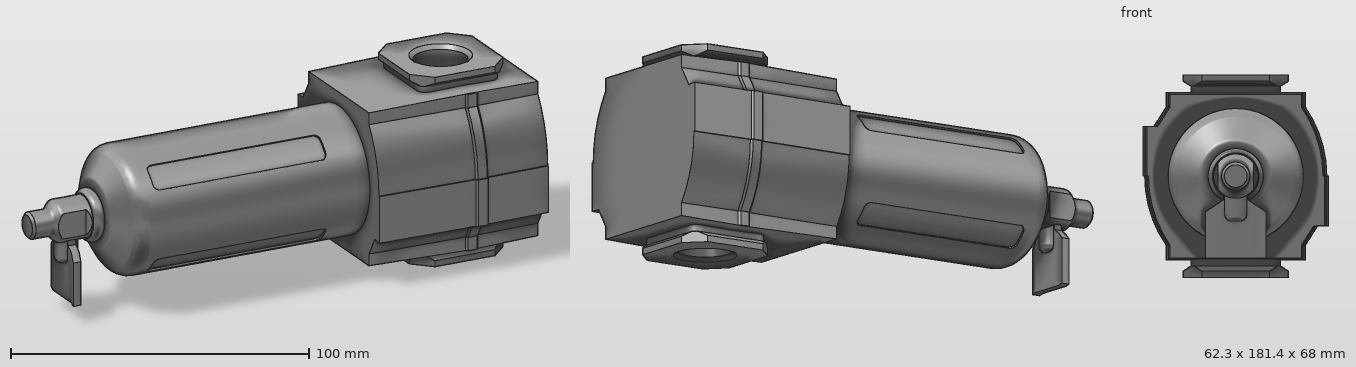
import cadquery as cq
import math


HEAD_BACK = 25.2
HEAD_FRONT = 38.5
HEAD_DRAFT = 1.0
HEAD_HALF_HEIGHT = 28.1
HEAD_HALF_WIDTH = 22.7
RIB_HALF_WIDTH = 30.5
SIDE_EDGE_Z = 23.2
RIB_LEDGE_Z = 16.7
LEDGE_DEPTH = 3.6
RIB_STEP = 0.5
BAND_RAISE = 0.67
BAND_WIDTH = 3.5

PORT_SPAN = 68.0
PORT_FACE_Z = PORT_SPAN / 2
FLANGE_SIZE = 35.4
FLANGE_CORNER = 6.4
FLANGE_RIM = 2.2
FLANGE_BEVEL = 1.6
NECK_SIZE = 30.1
NECK_CORNER_RADIUS = 3.5
PORT_RADIUS = 9.3
PORT_CHAMFER = 1.5
PORT_DEPTH = 20.0

BOWL_RADIUS = 22.7
BOWL_LENGTH = 92.7
BOWL_CONE_LENGTH = 6.7
BOWL_END_RADIUS = 12.0
BOWL_ROUND = 6.2
BOWL_END_ROUND = 2.4
WINDOW_LENGTH = 65.3
WINDOW_WIDTH = 9.5
WINDOW_DEPTH = 0.7
WINDOW_CORNER_RADIUS = 2.2
WINDOW_GAP = 14.2
WINDOW_ANGLES = (45, 135, 225, 315)

COLLAR_RADIUS = 9.3
COLLAR_BASE_RADIUS = 8.3
COLLAR_FOOT_RADIUS = 7.8
COLLAR_LENGTH = 4.0
BODY_RADIUS = 7.5
BODY_END = 14.7
BODY_FLATS = 11.8
FLAT_START = 5.8
BODY_ROUND = 1.6
SPOUT_RADIUS = 4.7
SPOUT_CHAMFER = 0.9
DRAIN_LENGTH = 25.0
STEM_OFFSET = 10.3
STEM_RADIUS = 4.0
STEM_END_Z = -15.0
STEM_ROUND = 2.2
LEVER_HALF_WIDTH = 10.2
LEVER_FLAT_HALF_WIDTH = 6.7
LEVER_NECK_HALF_WIDTH = 4.2
LEVER_THICKNESS = 2.9
LEVER_BEND = 1.0
LEVER_END_Z = -27.5
LEVER_SHOULDER_Z = -12.0
LEVER_NECK_Z = -8.0

BOWL_END = -HEAD_FRONT - BOWL_LENGTH


def head_section(y, raise_by):
    """Closed head outline at one place along Y, its sides pushed out by raise_by.

    Half a turn about the bowl axis maps the outline onto itself.
    """
    draft = abs(y) * math.tan(math.radians(HEAD_DRAFT))
    height = HEAD_HALF_HEIGHT - draft
    side = HEAD_HALF_WIDTH - draft + raise_by
    rib = RIB_HALF_WIDTH - draft + raise_by
    arc_end = rib - RIB_STEP
    sagitta = arc_end - side
    arc_radius = (sagitta**2 + SIDE_EDGE_Z**2) / (2 * sagitta)
    mid_angle = math.asin(SIDE_EDGE_Z / arc_radius) / 2
    mid_x = arc_end - arc_radius * (1 - math.cos(mid_angle))
    mid_z = arc_radius * math.sin(mid_angle)

    outline = cq.Workplane("XZ", origin=(0, y, 0)).moveTo(-side, height)
    for turn in (1, -1):
        outline = (
            outline.lineTo(turn * side, turn * height)
            .lineTo(turn * side, turn * SIDE_EDGE_Z)
            .threePointArc((turn * mid_x, turn * mid_z), (turn * arc_end, 0))
            .lineTo(turn * rib, 0)
            .lineTo(turn * rib, -turn * RIB_LEDGE_Z)
            .lineTo(turn * (rib - LEDGE_DEPTH), -turn * RIB_LEDGE_Z)
            .lineTo(turn * side, -turn * SIDE_EDGE_Z)
            .lineTo(turn * side, -turn * height)
        )
    return outline.close().val()


def head_segment(start, end):
    """Head stretch between two sections, each given as (place along Y, raise)."""
    wires = [head_section(*start), head_section(*end)]
    return cq.Workplane(obj=cq.Solid.makeLoft(wires, True))


def head_block():
    """Drafted head with the raised band around its sides at the port plane."""
    block = head_segment((0, 0), (-HEAD_FRONT, 0)).union(head_segment((0, 0), (HEAD_BACK, 0)))
    crest_edge = BAND_WIDTH / 2
    block = block.union(head_segment((-crest_edge, BAND_RAISE), (crest_edge, BAND_RAISE)))
    for toward in (1, -1):
        flank_top = toward * crest_edge
        flank_foot = toward * (crest_edge + BAND_RAISE)
        block = block.union(head_segment((flank_top, BAND_RAISE), (flank_foot, 0)))
    return block


def port_flange():
    """Upper port flange with its neck, reaching down into the head."""
    bevel_start = PORT_FACE_Z - FLANGE_RIM
    neck_top = bevel_start - FLANGE_BEVEL
    rim = cq.Workplane("XY").workplane(offset=bevel_start).rect(FLANGE_SIZE, FLANGE_SIZE).extrude(FLANGE_RIM)
    bevel = (
        cq.Workplane("XY").workplane(offset=neck_top).rect(NECK_SIZE, NECK_SIZE)
        .workplane(offset=FLANGE_BEVEL).rect(FLANGE_SIZE, FLANGE_SIZE).loft()
    )
    octagon = (
        cq.Workplane("XY").rect(FLANGE_SIZE, FLANGE_SIZE).extrude(PORT_FACE_Z)
        .edges("|Z").chamfer(FLANGE_CORNER)
    )
    neck = (
        cq.Workplane("XY").rect(NECK_SIZE, NECK_SIZE).extrude(neck_top)
        .edges("|Z").fillet(NECK_CORNER_RADIUS)
    )
    return rim.union(bevel).intersect(octagon).union(neck)


def port_bore():
    """Blind upper port bore with its lead-in chamfer."""
    mouth = PORT_RADIUS + PORT_CHAMFER
    floor = PORT_FACE_Z - PORT_DEPTH
    return (
        cq.Workplane("XZ").moveTo(0, floor).lineTo(PORT_RADIUS, floor)
        .lineTo(PORT_RADIUS, PORT_FACE_Z - PORT_CHAMFER).lineTo(mouth, PORT_FACE_Z)
        .lineTo(0, PORT_FACE_Z).close()
        .revolve(360, (0, 0, 0), (0, 1, 0))
    )


def make_head():
    head = head_block()
    flange = port_flange()
    bore = port_bore()
    head = head.union(flange).union(flange.mirror("XY"))
    return head.cut(bore).cut(bore.mirror("XY"))


def bowl_window(angle):
    """Curved pocket cutter on the bowl wall, turned about the bowl axis."""
    centre_y = -HEAD_FRONT - WINDOW_GAP - WINDOW_LENGTH / 2
    cutter = (
        cq.Workplane("XY").center(0, centre_y).rect(WINDOW_WIDTH, WINDOW_LENGTH)
        .extrude(2 * BOWL_RADIUS)
        .edges("|Z").fillet(WINDOW_CORNER_RADIUS)
    )
    core = cq.Workplane("XZ").circle(BOWL_RADIUS - WINDOW_DEPTH).extrude(-BOWL_END)
    return cutter.cut(core).rotate((0, 0, 0), (0, 1, 0), angle)


def edge_ring(y):
    """Selector for the round edges that lie at one place along Y."""
    reach = 2 * BOWL_RADIUS
    margin = 0.2
    return cq.selectors.BoxSelector((-reach, y - margin, -reach), (reach, y + margin, reach))


def make_bowl():
    shoulder_y = BOWL_END + BOWL_CONE_LENGTH
    bowl = (
        cq.Workplane("XY").moveTo(0, -HEAD_FRONT).lineTo(BOWL_RADIUS, -HEAD_FRONT)
        .lineTo(BOWL_RADIUS, shoulder_y).lineTo(BOWL_END_RADIUS, BOWL_END)
        .lineTo(0, BOWL_END).close()
        .revolve(360, (0, 0, 0), (0, 1, 0))
    )
    bowl = bowl.edges(edge_ring(shoulder_y)).fillet(BOWL_ROUND)
    bowl = bowl.edges(edge_ring(BOWL_END)).fillet(BOWL_END_ROUND)
    for angle in WINDOW_ANGLES:
        bowl = bowl.cut(bowl_window(angle))
    return bowl


def drain_barrel():
    """Turned part of the drain cock: bulged collar, body with two flats, and spout."""
    taper_length = BODY_RADIUS - SPOUT_RADIUS
    collar = (
        cq.Workplane("XY", origin=(0, BOWL_END, 0)).lineTo(COLLAR_BASE_RADIUS, 0)
        .threePointArc((COLLAR_RADIUS, -COLLAR_LENGTH / 2), (COLLAR_FOOT_RADIUS, -COLLAR_LENGTH))
        .lineTo(0, -COLLAR_LENGTH).close()
        .revolve(360, (0, 0, 0), (0, 1, 0))
    )
    body = (
        cq.Workplane("XY", origin=(0, BOWL_END, 0)).lineTo(BODY_RADIUS, 0)
        .lineTo(BODY_RADIUS, -BODY_END).lineTo(SPOUT_RADIUS, -BODY_END - taper_length)
        .lineTo(SPOUT_RADIUS, -DRAIN_LENGTH).lineTo(0, -DRAIN_LENGTH).close()
        .revolve(360, (0, 0, 0), (0, 1, 0))
        .faces("<Y").edges().chamfer(SPOUT_CHAMFER)
    )
    body = body.edges(edge_ring(BOWL_END - BODY_END)).fillet(BODY_ROUND)
    body = body.edges(edge_ring(BOWL_END - BODY_END - taper_length)).fillet(BODY_ROUND)
    flat_x = BODY_FLATS / 2
    between_flats = (
        cq.Workplane("XY", origin=(0, BOWL_END, 0))
        .moveTo(-flat_x - FLAT_START, 0).lineTo(flat_x + FLAT_START, 0)
        .lineTo(flat_x, -FLAT_START).lineTo(flat_x, -DRAIN_LENGTH)
        .lineTo(-flat_x, -DRAIN_LENGTH).lineTo(-flat_x, -FLAT_START).close()
        .extrude(2 * BODY_RADIUS, both=True)
    )
    return collar.union(body.intersect(between_flats))


def drain_lever():
    """Wing lever hanging in -Z: a flat middle with both tips bent opposite ways."""
    half = LEVER_THICKNESS / 2
    stem_y = BOWL_END - STEM_OFFSET
    plan = (
        cq.Workplane("XY", origin=(0, stem_y, LEVER_END_Z))
        .moveTo(-LEVER_HALF_WIDTH, LEVER_BEND + half)
        .lineTo(-LEVER_FLAT_HALF_WIDTH, half)
        .lineTo(LEVER_FLAT_HALF_WIDTH, half)
        .lineTo(LEVER_HALF_WIDTH, half - LEVER_BEND)
        .lineTo(LEVER_HALF_WIDTH, -half - LEVER_BEND)
        .lineTo(LEVER_FLAT_HALF_WIDTH, -half)
        .lineTo(-LEVER_FLAT_HALF_WIDTH, -half)
        .lineTo(-LEVER_HALF_WIDTH, LEVER_BEND - half)
        .close()
        .extrude(-LEVER_END_Z)
    )
    front = (
        cq.Workplane("XZ", origin=(0, stem_y, 0))
        .moveTo(-LEVER_HALF_WIDTH, LEVER_END_Z)
        .lineTo(-LEVER_HALF_WIDTH, LEVER_SHOULDER_Z)
        .lineTo(-LEVER_NECK_HALF_WIDTH, LEVER_NECK_Z)
        .lineTo(-LEVER_NECK_HALF_WIDTH, 0)
        .lineTo(LEVER_NECK_HALF_WIDTH, 0)
        .lineTo(LEVER_NECK_HALF_WIDTH, LEVER_NECK_Z)
        .lineTo(LEVER_HALF_WIDTH, LEVER_SHOULDER_Z)
        .lineTo(LEVER_HALF_WIDTH, LEVER_END_Z)
        .close()
        .extrude(LEVER_HALF_WIDTH, both=True)
    )
    return plan.intersect(front)


def make_drain():
    stem = (
        cq.Workplane("XY", origin=(0, BOWL_END - STEM_OFFSET, STEM_END_Z))
        .circle(STEM_RADIUS).extrude(-STEM_END_Z)
        .faces("<Z").edges().fillet(STEM_ROUND)
    )
    return drain_barrel().union(stem).union(drain_lever())


head = make_head()
bowl = make_bowl()
drain = make_drain()

result = cq.Compound.makeCompound([head.val(), bowl.val(), drain.val()])